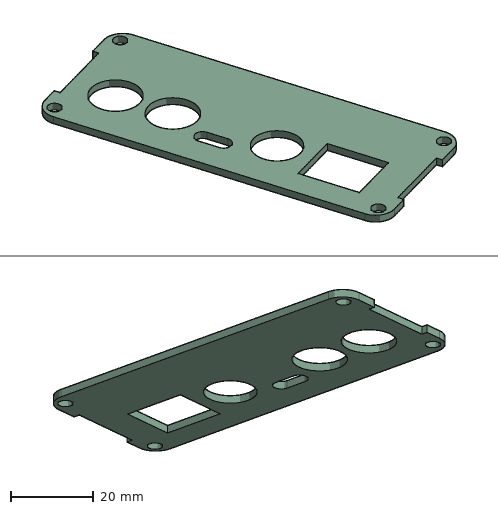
import cadquery as cq

length = 96.9
width = 40.2
thickness = 2.0
corner_radius = 5.2

notch_depth = 1.6
notch_top = 9.2
notch_bottom = -10.2

screw_diameter = 3.7
screw_spacing_x = 89.7
screw_spacing_y = 32.9

connector_y = -4.8
connectors = [(-34.4, 13.5), (-18.5, 13.5), (10.4, 13.0)]

slot_length = 10.1
slot_width = 4.3
slot_center = (-4.5, -10.1)

window_length = 17.0
window_width = 14.6
window_center = (29.1, -5.4)


def make_plate():
    plate = cq.Workplane("XY").box(length, width, thickness, centered=(True, True, False))
    return plate.edges("|Z").fillet(corner_radius)


def cut_end_notches(body):
    notch_height = notch_top - notch_bottom
    notch_center_y = (notch_top + notch_bottom) / 2
    cutters = (
        cq.Workplane("XY")
        .pushPoints([(side * length / 2, notch_center_y) for side in (-1, 1)])
        .rect(2 * notch_depth, notch_height)
        .extrude(thickness)
    )
    return body.cut(cutters)


def cut_screw_holes(body):
    cutters = (
        cq.Workplane("XY")
        .rect(screw_spacing_x, screw_spacing_y, forConstruction=True)
        .vertices()
        .circle(screw_diameter / 2)
        .extrude(thickness)
    )
    return body.cut(cutters)


def cut_connector_openings(body):
    for x, diameter in connectors:
        opening = cq.Workplane("XY").center(x, connector_y).circle(diameter / 2).extrude(thickness)
        body = body.cut(opening)
    return body


def cut_slot(body):
    slot = cq.Workplane("XY").center(*slot_center).slot2D(slot_length, slot_width).extrude(thickness)
    return body.cut(slot)


def cut_window(body):
    window = cq.Workplane("XY").center(*window_center).rect(window_length, window_width).extrude(thickness)
    return body.cut(window)


result = make_plate()
result = cut_end_notches(result)
result = cut_screw_holes(result)
result = cut_connector_openings(result)
result = cut_slot(result)
result = cut_window(result)